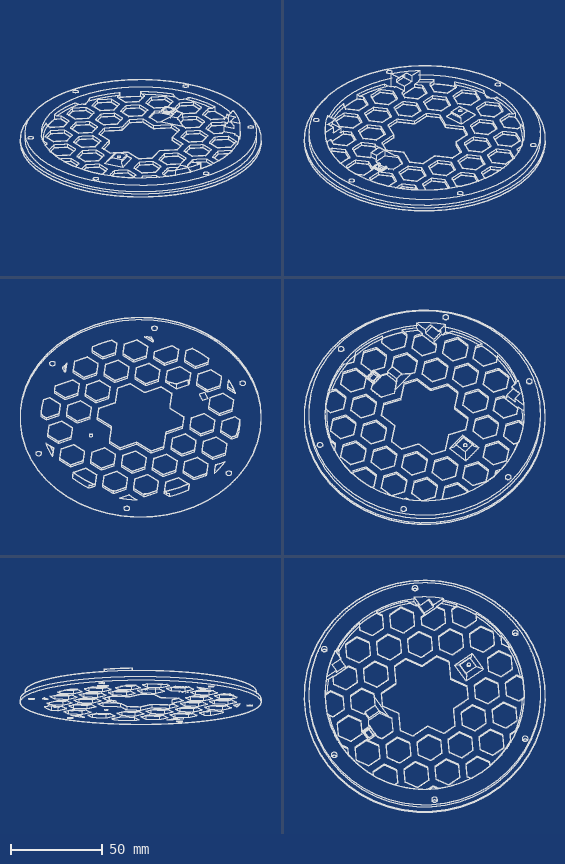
import cadquery as cq
import math

FLANGE_DIAMETER = 132.0
SPIGOT_DIAMETER = 126.9
BORE_DIAMETER = 109.0
PLATE_THICKNESS = 2.0
RING_HEIGHT = 6.0
BORE_CHAMFER = 1.0

SCREW_HOLE_COUNT = 6
SCREW_HOLE_DIAMETER = 3.0
SCREW_CIRCLE_RADIUS = 60.6

HEX_PITCH = 17.0
HEX_WALL = 4.1
HEX_ACROSS_FLATS = HEX_PITCH - HEX_WALL
ROW_PITCH = HEX_PITCH * math.sqrt(3) / 2
HEX_ACROSS_CORNERS = HEX_ACROSS_FLATS * 2 / math.sqrt(3)
STAR_REACH = 1.5 * HEX_PITCH
GRILLE_REACH = 59.4
MOUNT_Y = 2 * ROW_PITCH

MOUNT_HEIGHT = 4.9
MOUNT_RISE = MOUNT_HEIGHT - PLATE_THICKNESS
FLANK_ANGLE = 45

BLOCK_HEIGHT = 9.0
BLOCK_X = 38.0
BLOCK_Y = 26.4
NOTCH_LENGTH = 6.1
NOTCH_FLOOR = 5.1
NOTCH_LIP_DEPTH = 4.0
NOTCH_DEPTH = 6.0
NOTCH_STEP_HEIGHT = 6.7

POST_FOOT_X = (-6.1, 4.9)
POST_FOOT_Y = (-35.1, -23.4)
POST_UPRIGHT_X = 3.0
POST_UPRIGHT_Y = -25.3
PILOT_DIAMETER = 1.8

REST_Y = (25.9, 32.6)
POCKET_FLOOR = 0.9
POCKET_END_Y = 34.6

SOCKET_WIDTH = 6.1
SOCKET_END_Y = 39.7
SOCKET_HEIGHT = 2.6
SOCKET_WALL = 0.8
SOCKET_FRONT_WALL = 1.2
SOCKET_FLOOR = 0.4
SOCKET_OPENING = 4.0
SOCKET_SILL = 1.6


def box(x, y, z):
    """Box between the (low, high) limits along each axis."""
    return (
        cq.Workplane("XY")
        .box(x[1] - x[0], y[1] - y[0], z[1] - z[0], centered=False)
        .translate((x[0], y[0], z[0]))
    )


def cylinder(diameter, height):
    return cq.Workplane("XY").circle(diameter / 2).extrude(height)


def hexagon_prism(x, y, bottom, top):
    """Hexagon prism with two of its flats parallel to Y."""
    prism = cq.Workplane("XY").polygon(6, HEX_ACROSS_CORNERS).extrude(top - bottom)
    return prism.rotate((0, 0, 0), (0, 0, 1), 30).translate((x, y, bottom))


def ring_and_plate():
    """Ring and thin floor; a chamfer fills the corner between the bore and the floor."""
    body = cylinder(FLANGE_DIAMETER, PLATE_THICKNESS)
    body = body.union(cylinder(SPIGOT_DIAMETER, RING_HEIGHT))
    bore = cylinder(BORE_DIAMETER, RING_HEIGHT).faces("<Z").chamfer(BORE_CHAMFER)
    return body.cut(bore.translate((0, 0, PLATE_THICKNESS)))


def grille_centres():
    """Lattice points of the open hexagons outside the central star."""
    closed = {(0, 2), (0, -2)}
    reach = math.ceil(GRILLE_REACH / ROW_PITCH)
    centres = []
    for row in range(-reach, reach + 1):
        shift = 0.5 * (row % 2)
        for column in range(-reach, reach + 1):
            x = (column + shift) * HEX_PITCH
            y = row * ROW_PITCH
            inside = STAR_REACH < math.hypot(x, y) < GRILLE_REACH
            if inside and (column, row) not in closed:
                centres.append((x, y))
    return centres


def central_star():
    """Six-lobed opening: the seven middle cells with the walls between them removed."""
    lobe_reach = HEX_PITCH + HEX_ACROSS_FLATS / 2
    half_side = HEX_ACROSS_CORNERS / 4
    lobe_radius = math.hypot(lobe_reach, half_side)
    lobe_angle = math.degrees(math.atan2(half_side, lobe_reach))
    notch_radius = (HEX_PITCH + HEX_ACROSS_FLATS) / math.sqrt(3)
    points = []
    for lobe in range(6):
        middle = 60 * lobe
        for radius, degrees in (
            (lobe_radius, middle - lobe_angle),
            (lobe_radius, middle + lobe_angle),
            (notch_radius, middle + 30),
        ):
            angle = math.radians(degrees)
            points.append((radius * math.cos(angle), radius * math.sin(angle)))
    return cq.Workplane("XY").polyline(points).close().extrude(BLOCK_HEIGHT)


def grille_openings():
    openings = central_star()
    for x, y in grille_centres():
        openings = openings.union(hexagon_prism(x, y, 0, BLOCK_HEIGHT))
    return openings.intersect(cylinder(BORE_DIAMETER, BLOCK_HEIGHT))


def latch_block():
    """Block on the +Y side, rounded to the bore, with an undercut notch in its inner corner."""
    bore_radius = BORE_DIAMETER / 2
    block = box((BLOCK_X, bore_radius), (BLOCK_Y, bore_radius), (0, BLOCK_HEIGHT))
    cell_bottom = MOUNT_Y - HEX_ACROSS_CORNERS / 2
    cell_right = 2 * HEX_PITCH + HEX_ACROSS_FLATS / 2
    web = box((BLOCK_X, cell_right), (cell_bottom, BLOCK_Y), (0, PLATE_THICKNESS))
    notch = (
        cq.Workplane("XZ")
        .moveTo(BLOCK_X, NOTCH_FLOOR)
        .lineTo(BLOCK_X + NOTCH_DEPTH, NOTCH_FLOOR)
        .lineTo(BLOCK_X + NOTCH_DEPTH, NOTCH_STEP_HEIGHT)
        .lineTo(BLOCK_X + NOTCH_LIP_DEPTH, BLOCK_HEIGHT)
        .lineTo(BLOCK_X, BLOCK_HEIGHT)
        .close()
        .extrude(-NOTCH_LENGTH)
        .translate((0, BLOCK_Y, 0))
    )
    return block.intersect(cylinder(BORE_DIAMETER, BLOCK_HEIGHT)).cut(notch).union(web)


def sloped_mound(x, y):
    """Mound with 45 degree flanks standing on the plate, with the given foot limits."""
    return (
        cq.Workplane("XY")
        .rect(x[1] - x[0], y[1] - y[0])
        .extrude(MOUNT_RISE, taper=FLANK_ANGLE)
        .translate((sum(x) / 2, sum(y) / 2, PLATE_THICKNESS))
    )


def flanked_post():
    """Core with upright +X and +Y sides, and a lower flank in front of each of them."""
    core = sloped_mound(
        (POST_FOOT_X[0], POST_UPRIGHT_X + MOUNT_RISE),
        (POST_FOOT_Y[0], POST_UPRIGHT_Y + MOUNT_RISE),
    )
    upright_limits = box(
        (POST_FOOT_X[0], POST_UPRIGHT_X),
        (POST_FOOT_Y[0], POST_UPRIGHT_Y),
        (PLATE_THICKNESS, MOUNT_HEIGHT),
    )
    return core.intersect(upright_limits).union(sloped_mound(POST_FOOT_X, POST_FOOT_Y))


def ramped_rest():
    """Rest with a 45 degree ramp; the pocket and the neighbouring opening trim its sides."""
    return (
        cq.Workplane("YZ")
        .moveTo(REST_Y[0] - MOUNT_RISE, PLATE_THICKNESS)
        .lineTo(REST_Y[0], MOUNT_HEIGHT)
        .lineTo(REST_Y[1], MOUNT_HEIGHT)
        .lineTo(REST_Y[1], PLATE_THICKNESS)
        .close()
        .extrude(HEX_PITCH)
    )


def hexagonal_pocket():
    pocket = hexagon_prism(0, MOUNT_Y, POCKET_FLOOR, BLOCK_HEIGHT)
    keep = box((-HEX_PITCH, HEX_PITCH), (0, POCKET_END_Y), (0, BLOCK_HEIGHT))
    return pocket.intersect(keep)


def socket_block():
    half = SOCKET_WIDTH / 2
    return box((-half, half), (POCKET_END_Y, SOCKET_END_Y), (0, SOCKET_HEIGHT))


def socket_recess():
    """Rectangular well with a notch in the wall towards the pocket, open above a sill."""
    inner_half = SOCKET_WIDTH / 2 - SOCKET_WALL
    inner_y = (POCKET_END_Y + SOCKET_FRONT_WALL, SOCKET_END_Y - SOCKET_WALL)
    well = box((-inner_half, inner_half), inner_y, (SOCKET_FLOOR, SOCKET_HEIGHT))
    opening_half = SOCKET_OPENING / 2
    opening = box(
        (-opening_half, opening_half),
        (POCKET_END_Y, inner_y[0]),
        (SOCKET_SILL, SOCKET_HEIGHT),
    )
    return well.union(opening)


screw_holes = (
    cq.Workplane("XY")
    .polarArray(SCREW_CIRCLE_RADIUS, 90, 360, SCREW_HOLE_COUNT)
    .circle(SCREW_HOLE_DIAMETER / 2)
    .extrude(RING_HEIGHT)
)
pilot_hole = cylinder(PILOT_DIAMETER, MOUNT_HEIGHT).translate((0, -MOUNT_Y, 0))
block = latch_block()

result = ring_and_plate().union(ramped_rest())
result = result.cut(grille_openings()).cut(hexagonal_pocket())
result = result.union(block).union(block.mirror("XZ"))
result = result.union(socket_block()).cut(socket_recess())
result = result.union(flanked_post()).cut(pilot_hole).cut(screw_holes)